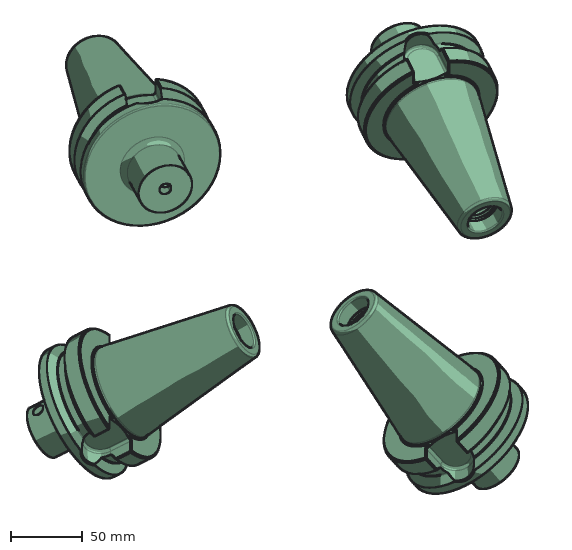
import cadquery as cq
import math

total_length = 170.8
gauge_line = 101.8
flange_start = 104.7
flange_end = 139.9

gauge_radius = 69.9 / 2
flange_radius = 100.0 / 2
nose_radius = 39.0 / 2

taper_slope = 7 / 24 / 2
taper_small_radius = gauge_radius - gauge_line * taper_slope

groove_start = 117.7
groove_end = 132.5
groove_radius = 42.9
groove_angle = 60
groove_flank = (flange_radius - groove_radius) * math.tan(math.radians(groove_angle / 2))
groove_corner = 0.7

taper_end_round = 2.0
flange_chamfer = 1.0
nose_round = 4.0
flange_root_chamfer = 1.0

mouth_round = 1.0
counterbore_radius = 25.5 / 2
counterbore_depth = 10.6
relief_radius = 25.0 / 2
relief_depth = 12.8
bore_radius = 21.0 / 2
bore_depth = 76.9
passage_radius = 8.5 / 2
bore_lead_angle = 60
drill_point_angle = 118

slot_width = 25.6
slot_floor = 35.4
slot_end = 135.0
slot_floor_round = 2.0
slot_chamfer = 0.9

screw_diameter = 8.5
screw_station = 161.2
screw_inner_end = 5.1
screw_outer_end = 19.3

overrun = 1.7
pick_tolerance = 0.2


def revolved(profile):
    """Turn a closed profile, drawn as (x, radius), about the X axis."""
    return profile.close().revolve(360, (0, 0, 0), (1, 0, 0))


def turned_blank():
    """Taper, flange with gripper groove and nose, as one solid of revolution."""
    floor_start = groove_start + groove_flank
    floor_end = groove_end - groove_flank
    outline = (
        cq.Workplane("XY")
        .moveTo(0, 0)
        .lineTo(0, taper_small_radius)
        .lineTo(gauge_line, gauge_radius)
        .lineTo(flange_start - flange_root_chamfer, gauge_radius)
        .lineTo(flange_start, gauge_radius + flange_root_chamfer)
        .lineTo(flange_start, flange_radius - flange_chamfer)
        .lineTo(flange_start + flange_chamfer, flange_radius)
        .lineTo(groove_start, flange_radius)
        .lineTo(floor_start, groove_radius)
        .lineTo(floor_end, groove_radius)
        .lineTo(groove_end, flange_radius)
        .lineTo(flange_end - flange_chamfer, flange_radius)
        .radiusArc((flange_end, flange_radius - flange_chamfer), flange_chamfer)
        .lineTo(flange_end, nose_radius + nose_round)
        .radiusArc((flange_end + nose_round, nose_radius), -nose_round)
        .lineTo(total_length, nose_radius)
        .lineTo(total_length, 0)
    )
    blank = revolved(outline).faces("<X").edges().fillet(taper_end_round)
    for station in (floor_start, floor_end):
        corner = cq.selectors.BoxSelector(
            (station - pick_tolerance, -flange_radius, -flange_radius),
            (station + pick_tolerance, flange_radius, flange_radius),
        )
        blank = blank.edges(corner).fillet(groove_corner)
    return blank


def axial_bore():
    """Stepped bore with a drill-point bottom and a passage to the nose end."""
    lead_length = (relief_radius - bore_radius) / math.tan(math.radians(bore_lead_angle))
    point_length = (bore_radius - passage_radius) / math.tan(math.radians(drill_point_angle / 2))
    outline = (
        cq.Workplane("XY")
        .moveTo(0, 0)
        .lineTo(0, counterbore_radius)
        .lineTo(counterbore_depth, counterbore_radius)
        .lineTo(counterbore_depth, relief_radius)
        .lineTo(relief_depth, relief_radius)
        .lineTo(relief_depth + lead_length, bore_radius)
        .lineTo(bore_depth, bore_radius)
        .lineTo(bore_depth + point_length, passage_radius)
        .lineTo(total_length, passage_radius)
        .lineTo(total_length, 0)
    )
    return revolved(outline)


def is_slot_rim(edge):
    """True for slot edges on the flange front face, up to the floor rounding, and on the outer cylinder."""
    middle = edge.Center()
    half_width = slot_width / 2
    rim_height = math.sqrt(flange_radius**2 - half_width**2)
    along_slot = flange_start - pick_tolerance < middle.x < slot_end
    across_slot = abs(middle.y) < half_width + pick_tolerance
    on_outer_cylinder = abs(middle.z) > rim_height - slot_chamfer
    at_front = middle.x < flange_start + pick_tolerance
    on_front_face = at_front and abs(middle.y) > half_width - slot_floor_round / 2
    above_floor = abs(middle.z) > slot_floor
    return along_slot and across_slot and above_floor and (on_outer_cylinder or on_front_face)


def drive_slot():
    """Cutter for the upper drive slot: round inner end and rounded floor."""
    half_width = slot_width / 2
    depth = flange_radius - slot_floor + overrun
    straight_end = slot_end - half_width
    slot = (
        cq.Workplane("XY", origin=(0, 0, slot_floor))
        .moveTo(flange_start - overrun, -half_width)
        .lineTo(straight_end, -half_width)
        .threePointArc((slot_end, 0), (straight_end, half_width))
        .lineTo(flange_start - overrun, half_width)
        .close()
        .extrude(depth)
    )
    return slot.edges("<Z").edges("not <X").fillet(slot_floor_round)


def side_hole(inner_end, outer_end):
    """Cylinder on the set screw axis, between two distances from the X axis on the +Y side."""
    return (
        cq.Workplane("XZ", origin=(screw_station, inner_end, 0))
        .circle(screw_diameter / 2)
        .extrude(inner_end - outer_end)
    )


def make_holder():
    """Tool holder body with its bore, drive slots and set screw hole."""
    holder = turned_blank().cut(axial_bore())
    mouth_edge = holder.faces("<X").edges(cq.selectors.RadiusNthSelector(0))
    holder = mouth_edge.fillet(mouth_round)
    slot = drive_slot()
    for angle in (0, 180):
        holder = holder.cut(slot.rotate((0, 0, 0), (1, 0, 0), angle))
    holder = holder.edges().filter(is_slot_rim).chamfer(slot_chamfer)
    return holder.cut(side_hole(0, nose_radius + overrun))


def make_set_screw():
    """Plain set screw filling the radial hole from near the passage almost to the nose surface."""
    return side_hole(screw_inner_end, screw_outer_end)


holder = make_holder()
set_screw = make_set_screw()
result = cq.Compound.makeCompound([holder.val(), set_screw.val()])